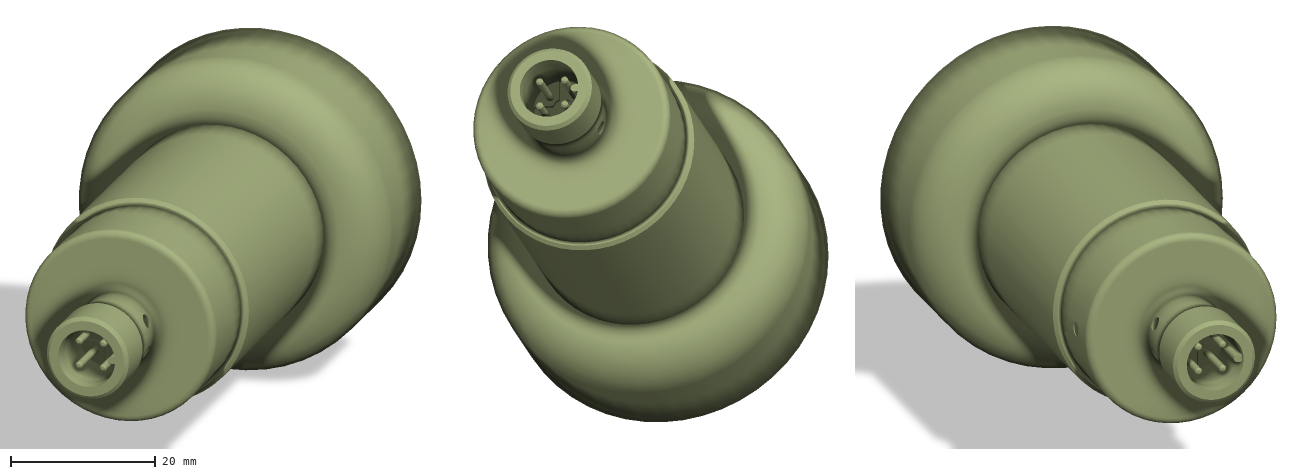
import cadquery as cq
import math

total_length = 78.0

cap_diameter = 45.5
cap_length = 19.0
cap_round = 6.0

body_diameter = 30.0
body_end = 52.5
body_chamfer = 0.5

shoulder_diameter = 28.0
shoulder_end = 64.0
shoulder_round = 1.0

neck_diameter = 10.9
neck_end = 71.0
neck_fillet = 1.0

plug_diameter = 12.0
plug_chamfer = 0.5

bore_diameter = 8.3
bore_depth = 9.0

cross_width = 1.05
cross_hub_diameter = 3.0
cross_depth = 0.5

pin_diameter = 1.0
pin_circle_diameter = 5.0
pin_count = 4
pin_start_angle = 45
pin_recess = 1.7
pin_tip_chamfer = 0.25

key_width = 1.05
key_inner_reach = 2.95
key_recess = 0.5

window_diameter = 2.0
body_window_station = 59.0
body_window_angle = 180
body_window_floor_diameter = 27.8
neck_window_station = 66.5
neck_window_floor_diameter = 9.8
neck_window_angles = (25, -25, 155, -155)

OVERLAP = 0.2


def disc(diameter, start, end):
    """Cylinder on the Y axis between two stations."""
    return cq.Workplane("XZ", origin=(0, -start, 0)).circle(diameter / 2).extrude(end - start)


def make_cap():
    return disc(cap_diameter, 0, cap_length).faces("<Y").edges().fillet(cap_round)


def make_body():
    body = disc(body_diameter, cap_length, body_end)
    return body.faces("<Y or >Y").edges().chamfer(body_chamfer)


def make_shoulder():
    shoulder = disc(shoulder_diameter, body_end, shoulder_end)
    return shoulder.faces("<Y").edges().fillet(shoulder_round)


def make_neck():
    """Neck with a concave fillet flaring out to the shoulder face."""
    neck_radius = neck_diameter / 2
    fillet_offset = neck_fillet * (1 - math.sqrt(0.5))
    return (
        cq.Workplane("XY")
        .moveTo(0, -shoulder_end)
        .lineTo(neck_radius + neck_fillet, -shoulder_end)
        .threePointArc(
            (neck_radius + fillet_offset, -shoulder_end - fillet_offset),
            (neck_radius, -shoulder_end - neck_fillet),
        )
        .lineTo(neck_radius, -neck_end)
        .lineTo(0, -neck_end)
        .close()
        .revolve(360, (0, 0, 0), (0, 1, 0))
    )


def make_plug():
    plug = disc(plug_diameter, neck_end, total_length)
    return plug.faces("<Y or >Y").edges().chamfer(plug_chamfer)


def make_cross_groove():
    """Cross with a round hub, sunk into the bore floor."""
    floor_station = total_length - bore_depth
    floor = cq.Workplane("XZ", origin=(0, -floor_station, 0))
    hub = floor.circle(cross_hub_diameter / 2).extrude(-cross_depth)
    arm_x = floor.rect(bore_diameter, cross_width).extrude(-cross_depth)
    arm_z = floor.rect(cross_width, bore_diameter).extrude(-cross_depth)
    return hub.union(arm_x).union(arm_z)


def make_pins():
    pins = (
        cq.Workplane("XZ", origin=(0, -(total_length - bore_depth - OVERLAP), 0))
        .polarArray(pin_circle_diameter / 2, pin_start_angle, 360, pin_count)
        .circle(pin_diameter / 2)
        .extrude(bore_depth + OVERLAP - pin_recess)
    )
    return pins.faces("<Y").edges().chamfer(pin_tip_chamfer)


def make_key():
    """Round-nosed rib along the +X side of the bore."""
    nose_x = key_inner_reach + key_width / 2
    root_x = bore_diameter / 2 + OVERLAP
    start = total_length - bore_depth - cross_depth
    length = bore_depth + cross_depth - key_recess
    return (
        cq.Workplane("XZ", origin=(0, -start, 0))
        .moveTo(root_x, -key_width / 2)
        .lineTo(nose_x, -key_width / 2)
        .threePointArc((key_inner_reach, 0), (nose_x, key_width / 2))
        .lineTo(root_x, key_width / 2)
        .close()
        .extrude(length)
    )


def make_window(station, surface_diameter, floor_diameter, angle):
    """Cutter for a radial blind hole with a cylindrical floor; the angle turns from +X towards +Z."""
    hole = (
        cq.Workplane("YZ", origin=(0, -station, 0))
        .circle(window_diameter / 2)
        .extrude(surface_diameter / 2 + OVERLAP)
        .rotate((0, 0, 0), (0, 1, 0), -angle)
    )
    return hole.cut(disc(floor_diameter, station - window_diameter, station + window_diameter))


result = make_cap()
for section in (make_body(), make_shoulder(), make_neck(), make_plug()):
    result = result.union(section)

result = result.cut(disc(bore_diameter, total_length - bore_depth, total_length))
result = result.cut(make_cross_groove())
result = result.union(make_pins())
result = result.union(make_key())

result = result.cut(
    make_window(body_window_station, shoulder_diameter, body_window_floor_diameter, body_window_angle)
)
for window_angle in neck_window_angles:
    result = result.cut(
        make_window(neck_window_station, neck_diameter, neck_window_floor_diameter, window_angle)
    )